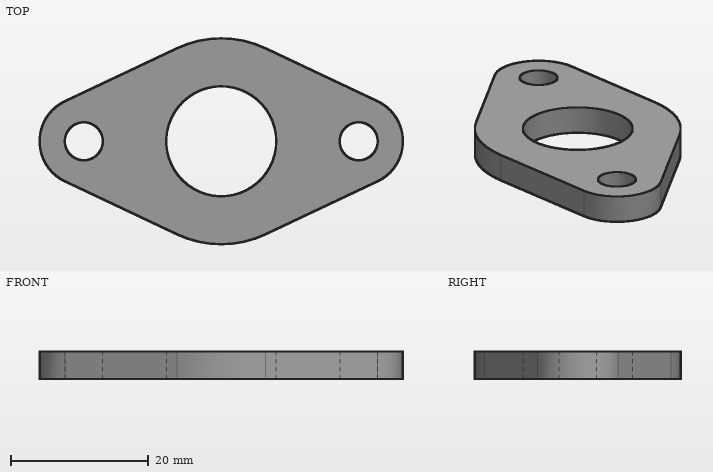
import cadquery as cq
import math

length = 52.95
width = 30.0
thickness = 4.0
bolt_spacing = 40.05
bolt_hole_diameter = 5.5
bore_diameter = 16.0

middle_radius = width / 2
bolt_offset = bolt_spacing / 2
end_radius = length / 2 - bolt_offset

normal_x = (middle_radius - end_radius) / bolt_offset
normal_y = math.sqrt(1 - normal_x**2)
middle_x = middle_radius * normal_x
middle_y = middle_radius * normal_y
end_x = bolt_offset + end_radius * normal_x
end_y = end_radius * normal_y

plate = (
    cq.Workplane("XY")
    .moveTo(-middle_x, middle_y)
    .threePointArc((0, middle_radius), (middle_x, middle_y))
    .lineTo(end_x, end_y)
    .threePointArc((length / 2, 0), (end_x, -end_y))
    .lineTo(middle_x, -middle_y)
    .threePointArc((0, -middle_radius), (-middle_x, -middle_y))
    .lineTo(-end_x, -end_y)
    .threePointArc((-length / 2, 0), (-end_x, end_y))
    .close()
    .extrude(thickness)
)

bore = cq.Workplane("XY").circle(bore_diameter / 2).extrude(thickness)
bolt_holes = (
    cq.Workplane("XY")
    .pushPoints([(-bolt_offset, 0), (bolt_offset, 0)])
    .circle(bolt_hole_diameter / 2)
    .extrude(thickness)
)

result = plate.cut(bore).cut(bolt_holes)